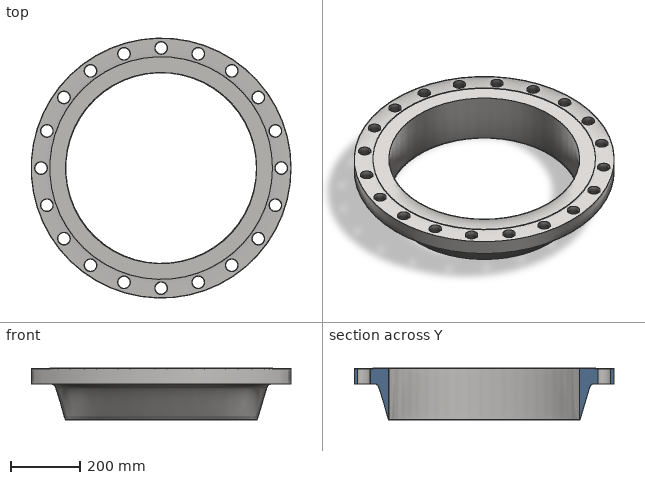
import cadquery as cq


flange_diameter = 749.3
overall_height = 149.22
flange_thickness = 46.0
raised_face_diameter = 641.4
raised_face_height = 1.6

hub_base_diameter = 615.0
hub_tip_diameter = 558.8
weld_end_diameter = 552.5
bevel_height = 8.8
bore_diameter = 549.3
hub_base_fillet = 12.7

bolt_hole_count = 20
bolt_hole_diameter = 35.1
bolt_circle_diameter = 692.2

selection_margin = 0.1

flange_bottom = overall_height - flange_thickness
shoulder_level = overall_height - raised_face_height


def make_body():
    """Revolve the solid profile of flange and hub, then fillet the hub base."""
    profile = (
        cq.Workplane("XZ")
        .moveTo(0, 0)
        .lineTo(weld_end_diameter / 2, 0)
        .lineTo(hub_tip_diameter / 2, bevel_height)
        .lineTo(hub_base_diameter / 2, flange_bottom)
        .lineTo(flange_diameter / 2, flange_bottom)
        .lineTo(flange_diameter / 2, shoulder_level)
        .lineTo(raised_face_diameter / 2, shoulder_level)
        .lineTo(raised_face_diameter / 2, overall_height)
        .lineTo(0, overall_height)
        .close()
    )
    body = profile.revolve(360, (0, 0, 0), (0, 1, 0))
    reach = hub_base_diameter / 2 + selection_margin
    hub_base_edge = cq.selectors.BoxSelector(
        (-reach, -reach, flange_bottom - selection_margin),
        (reach, reach, flange_bottom + selection_margin),
        boundingbox=True,
    )
    return body.edges(hub_base_edge).fillet(hub_base_fillet)


def cut_bore(body):
    """Bore straight through along the axis."""
    bore = cq.Workplane("XY").circle(bore_diameter / 2).extrude(overall_height)
    return body.cut(bore)


def cut_bolt_holes(body):
    """Drill the evenly spaced bolt holes through the flange plate."""
    holes = (
        cq.Workplane("XY")
        .workplane(offset=flange_bottom)
        .polarArray(bolt_circle_diameter / 2, 0, 360, bolt_hole_count)
        .circle(bolt_hole_diameter / 2)
        .extrude(flange_thickness)
    )
    return body.cut(holes)


result = cut_bolt_holes(cut_bore(make_body()))